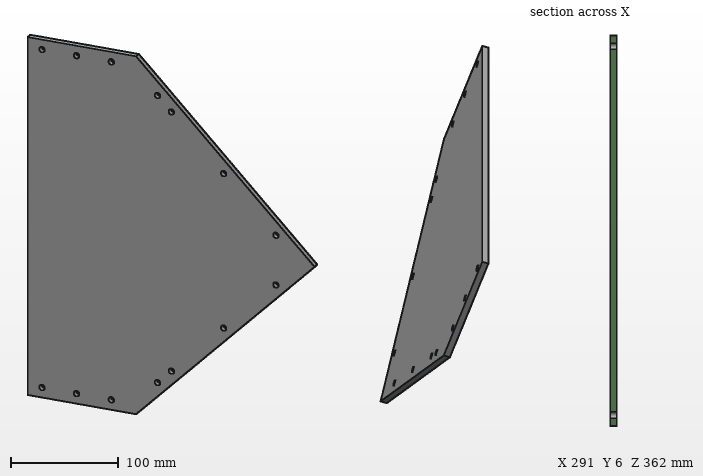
import cadquery as cq
import math

height = 362.0
length = 291.0
thickness = 6.0
half_height = height / 2
shoulder_x = length - half_height

hole_diameter = 5.5
edge_inset = 10.0
first_hole_x = 14.5
straight_pitch = 35.0
straight_count = 3
slope_distances = [45.5, 120.5, 195.5, 215.5]


def straight_edge_holes():
    z = half_height - edge_inset
    return [(first_hole_x + i * straight_pitch, z) for i in range(straight_count)]


def sloping_edge_holes():
    diagonal = math.sqrt(0.5)
    return [
        (length - (distance + edge_inset) * diagonal, (distance - edge_inset) * diagonal)
        for distance in slope_distances
    ]


outline = [
    (0, -half_height),
    (shoulder_x, -half_height),
    (length, 0),
    (shoulder_x, half_height),
    (0, half_height),
]
plate = cq.Workplane("XZ").polyline(outline).close().extrude(thickness)

upper_holes = straight_edge_holes() + sloping_edge_holes()
lower_holes = [(x, -z) for x, z in upper_holes]
holes = (
    cq.Workplane("XZ")
    .pushPoints(upper_holes + lower_holes)
    .circle(hole_diameter / 2)
    .extrude(thickness)
)

result = plate.cut(holes)